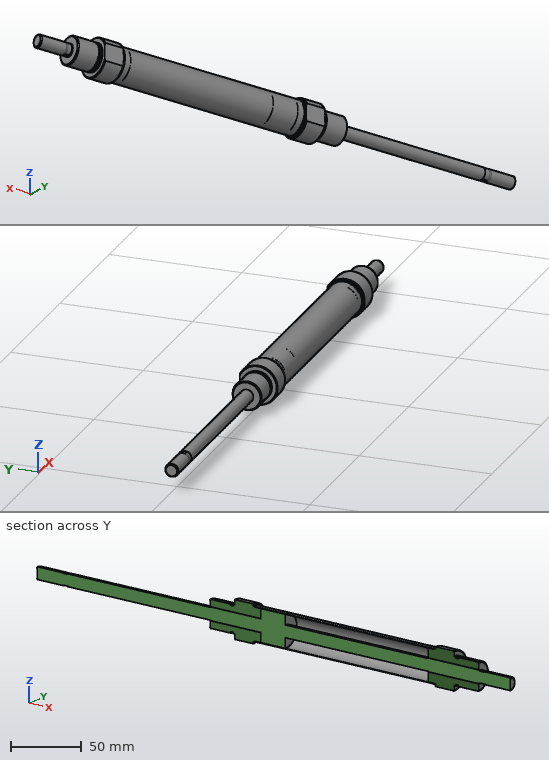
import cadquery as cq


tube_diameter = 26.8
bore_diameter = 25.0
tube_half_length = 79.0

head_diameter = 30.0
head_flat_offset = 13.5
head_chamfer = 0.63
spigot_length = 5.5
head_start = 80.3
head_end = 97.0
collar_length = 1.3
undercut_end = 100.5
boss_end = 118.7
boss_diameter = 22.0
boss_chamfer = 1.0
undercut_diameter = 20.0

total_length = 418.0
rod_right_end = 146.7
rod_left_end = rod_right_end - total_length
rod_diameter = 10.0
thread_length = 22.0
thread_end_bevel = 1.3
rod_chamfer = 1.0
neck_length = 3.8
neck_depth = 0.13
neck_flat_depth = 0.5
piston_length = 21.7

tube_radius = tube_diameter / 2
bore_radius = bore_diameter / 2
head_radius = head_diameter / 2
boss_radius = boss_diameter / 2
undercut_radius = undercut_diameter / 2
rod_radius = rod_diameter / 2
neck_radius = rod_radius - neck_depth
spigot_face = tube_half_length - spigot_length


def turned(profile):
    """Revolve (x, radius) points, closed along the X axis, around that axis."""
    first_x = profile[0][0]
    last_x = profile[-1][0]
    outline = [(first_x, 0)] + profile + [(last_x, 0)]
    return cq.Workplane("XY").polyline(outline).close().revolve(360, (0, 0, 0), (1, 0, 0))


def cylinder_along_x(start, end, radius):
    return turned([(start, radius), (end, radius)])


def make_tube():
    outside = cylinder_along_x(-tube_half_length, tube_half_length, tube_radius)
    bore = cylinder_along_x(-tube_half_length, tube_half_length, bore_radius)
    return outside.cut(bore)


def make_right_head():
    """Head at the +X end: spigot in the tube, shoulder, flatted body, collar, undercut and boss."""
    body = turned([
        (spigot_face, bore_radius),
        (tube_half_length, bore_radius),
        (tube_half_length, tube_radius),
        (head_start, tube_radius),
        (head_start, head_radius - head_chamfer),
        (head_start + head_chamfer, head_radius),
        (head_end - head_chamfer, head_radius),
        (head_end, head_radius - head_chamfer),
        (head_end, boss_radius),
        (head_end + collar_length, boss_radius),
        (head_end + collar_length, undercut_radius),
        (undercut_end, undercut_radius),
        (undercut_end, boss_radius),
        (boss_end - boss_chamfer, boss_radius),
        (boss_end, boss_radius - boss_chamfer),
    ])
    beyond_flat = cq.Workplane("XY").box(
        2 * boss_end, head_radius, 2 * head_radius, centered=(True, False, True)
    ).translate((0, head_flat_offset, 0))
    rod_hole = cylinder_along_x(spigot_face, boss_end, rod_radius)
    return body.cut(beyond_flat).cut(rod_hole)


def make_rod():
    """Rod with a piston, and at each end a flatted neck and a thread modelled as a plain cylinder."""
    left_thread_end = rod_left_end + thread_length
    left_neck_start = left_thread_end + thread_end_bevel
    left_neck_end = left_neck_start + neck_length
    piston_left = -spigot_face
    piston_right = piston_left + piston_length
    right_thread_end = rod_right_end - thread_length
    right_neck_end = right_thread_end - thread_end_bevel
    right_neck_start = right_neck_end - neck_length
    rod = turned([
        (rod_left_end, rod_radius - rod_chamfer),
        (rod_left_end + rod_chamfer, rod_radius),
        (left_thread_end, rod_radius),
        (left_neck_start, neck_radius),
        (left_neck_end, neck_radius),
        (left_neck_end, rod_radius),
        (piston_left, rod_radius),
        (piston_left, bore_radius),
        (piston_right, bore_radius),
        (piston_right, rod_radius),
        (right_neck_start, rod_radius),
        (right_neck_start, neck_radius),
        (right_neck_end, neck_radius),
        (right_thread_end, rod_radius),
        (rod_right_end - rod_chamfer, rod_radius),
        (rod_right_end, rod_radius - rod_chamfer),
    ])
    flat_cutter = cq.Workplane("XY").box(neck_length, rod_diameter, rod_diameter)
    cutter_height = rod_diameter - neck_flat_depth
    for neck_start in (left_neck_start, right_neck_start):
        for side in (1, -1):
            rod = rod.cut(flat_cutter.translate((neck_start + neck_length / 2, 0, side * cutter_height)))
    return rod


tube = make_tube()
right_head = make_right_head()
left_head = right_head.mirror("YZ")
rod = make_rod()

result = cq.Compound.makeCompound([tube.val(), left_head.val(), right_head.val(), rod.val()])